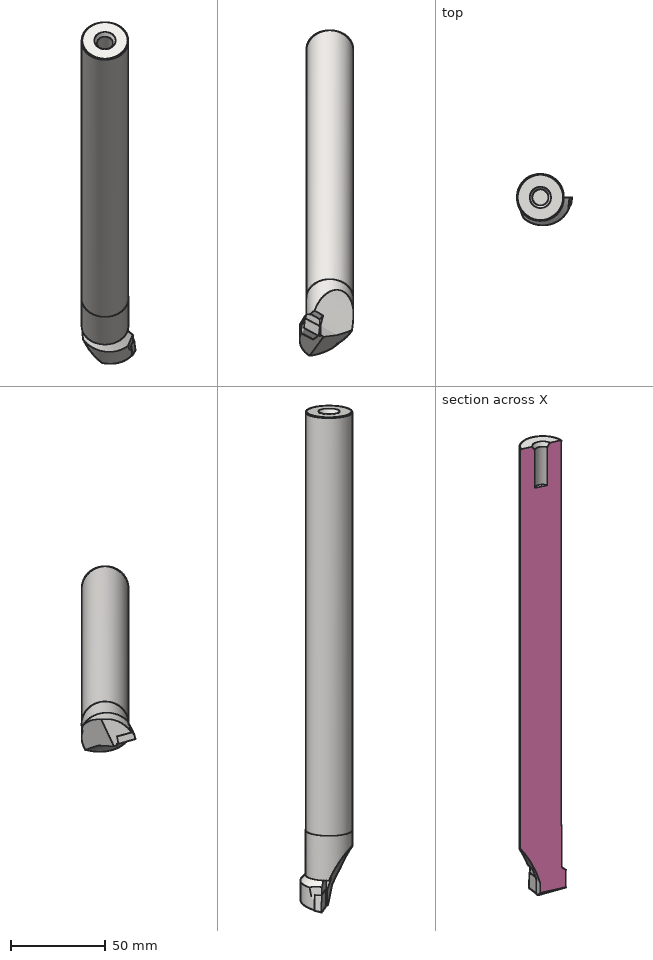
import cadquery as cq
import math

total_length = 271.25
shank_diameter = 24.98
shank_chamfer = 0.5
neck_diameter = 25.08
neck_radius = neck_diameter / 2
neck_top = 41.25

bore_diameter = 8.5
bore_depth = 25.0
countersink_diameter = 11.3
countersink_angle = 60.0

head_bottom_y = -14.89
head_radius = 15.2
head_center_x = 1.3
head_center_y = head_bottom_y + head_radius
collar_top = 16.6
collar_height = 6.0

rear_cut_sum = 5.9
flat_y = 0.7
flat_top = 10.0
pocket_middle = (4.3, 19.7)
pocket_top = 33.0

tip_x = 16.9
inscribed_circle = 9.525
corner_angle = 80.0
insert_side = inscribed_circle / math.sin(math.radians(corner_angle))
insert_thickness = 3.97
clearance_angle = 7.0
edge_tilt = 5.0
nose_radius = 0.8
head_setback = 0.35

cut_size = 60.0


def rhombus_corners(side, setback=0.0):
    """XZ corners of the insert's rhombus, moved inwards by the setback, cutting corner first."""
    tilt = math.radians(edge_tilt)
    half_corner = math.radians(corner_angle / 2)
    corner_reach = (nose_radius - setback) / math.sin(half_corner)
    x = tip_x - nose_radius + corner_reach * math.sqrt(0.5)
    z = nose_radius - corner_reach * math.sqrt(0.5)
    short_leg = side * math.sin(tilt)
    long_leg = side * math.cos(tilt)
    return [
        (x, z),
        (x - short_leg, z + long_leg),
        (x - short_leg - long_leg, z + long_leg + short_leg),
        (x - long_leg, z + short_leg),
    ]


def relieved_rhombus(corners, thickness):
    """Rhombus on Y = 0 that narrows by the clearance angle towards -Y."""
    return cq.Workplane("XZ").polyline(corners).close().extrude(thickness, taper=clearance_angle)


def make_insert():
    blank = relieved_rhombus(rhombus_corners(insert_side), insert_thickness)
    return blank.edges("not(<Y or >Y)").fillet(nose_radius)


def make_shank():
    shank = (
        cq.Workplane("XY", origin=(0, 0, neck_top))
        .circle(shank_diameter / 2)
        .extrude(total_length - neck_top)
        .faces(">Z")
        .chamfer(shank_chamfer)
    )
    return shank.faces(">Z").workplane().cskHole(
        bore_diameter, countersink_diameter, countersink_angle, bore_depth
    )


def make_neck():
    return cq.Workplane("XY").circle(neck_radius).extrude(neck_top)


def make_head():
    """Offset cylinder whose top is a 45 degree collar running out of the neck."""
    cylinder = (
        cq.Workplane("XY", origin=(head_center_x, head_center_y, 0))
        .circle(head_radius)
        .extrude(collar_top)
    )
    collar_radius = neck_radius + collar_height
    collar = (
        cq.Workplane("XZ")
        .polyline([
            (0, 0),
            (collar_radius, 0),
            (collar_radius, collar_top - collar_height),
            (neck_radius, collar_top),
            (0, collar_top),
        ])
        .close()
        .revolve(360, (0, 0, 0), (0, 1, 0))
    )
    return cylinder.intersect(collar)


def relief_envelope():
    """Wedge bounded by the end and side relief faces, tilted like the cutting edges."""
    rhombus = rhombus_corners(cut_size, head_setback)
    depth = 2 * head_radius
    below = relieved_rhombus(rhombus, depth)
    above = cq.Workplane("XZ").polyline(rhombus).close().extrude(-depth)
    return below.union(above)


def rear_cut():
    """Everything behind the 45 degree rear face."""
    reach = neck_radius * 2
    return (
        cq.Workplane("XZ")
        .polyline([
            (rear_cut_sum + reach, -reach),
            (-reach, rear_cut_sum + reach),
            (-reach, -reach),
        ])
        .close()
        .extrude(reach, both=True)
    )


def chip_pocket():
    """Clears the +Y half: a flat beside the insert that sweeps up and out to the neck's surface."""
    return (
        cq.Workplane("YZ")
        .moveTo(flat_y, 0)
        .lineTo(flat_y, flat_top)
        .threePointArc(pocket_middle, (neck_radius, pocket_top))
        .lineTo(2 * neck_radius, pocket_top)
        .lineTo(2 * neck_radius, 0)
        .close()
        .extrude(cut_size, both=True)
    )


def insert_clearing():
    """Lowers the flat to the insert's top face, from the insert's rear corner out to the side."""
    rear_corner_x = rhombus_corners(insert_side)[2][0]
    return cq.Workplane("XY", origin=(rear_corner_x, 0, 0)).box(
        cut_size, cut_size, collar_top, centered=False
    )


insert = make_insert()
bar = (
    make_neck()
    .union(make_head())
    .cut(rear_cut())
    .cut(chip_pocket())
    .cut(insert_clearing())
    .intersect(relief_envelope())
    .union(make_shank())
    .cut(insert)
)
result = cq.Compound.makeCompound([bar.val(), insert.val()])